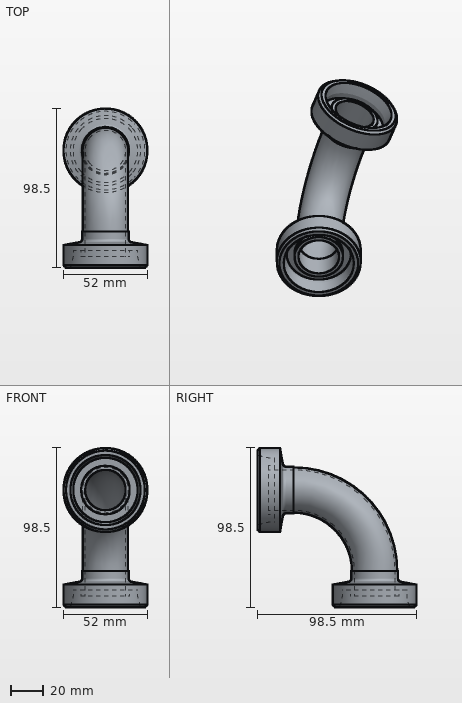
import cadquery as cq
import math

overall_size = 98.5
rim_radius = 52.0 / 2

tube_radius = 28.2 / 2
bore_radius = 25.0 / 2

collar_radius = 29.0 / 2
collar_top = 22.5
shoulder_top = 16.2
rim_top = 14.1
rim_chamfer = 1.7
neck_fillet = 2.0

mouth_radius = 43.3 / 2
socket_radius = 39.8 / 2
taper_depth = 7.0
socket_depth = 10.6
seat_radius = 30.0 / 2
seat_depth = taper_depth

half_size = overall_size / 2
lower_axis_y = half_size - rim_radius
upper_axis_z = half_size - rim_radius
bend_radius = overall_size - rim_radius - collar_top
elbow_start_z = -half_size + collar_top


def make_ferrule():
    """Ferrule standing on its open face at Z = 0, with its axis along Z."""
    shoulder_angle = math.atan2(shoulder_top - rim_top, rim_radius - collar_radius)
    turn_angle = math.pi / 2 - shoulder_angle
    tangent_length = neck_fillet * math.tan(turn_angle / 2)
    arc_center_radius = collar_radius + neck_fillet
    arc_start_height = shoulder_top + tangent_length

    def arc_point(angle):
        return (
            arc_center_radius - neck_fillet * math.cos(angle),
            arc_start_height - neck_fillet * math.sin(angle),
        )

    profile = (
        cq.Workplane("XZ")
        .moveTo(bore_radius, seat_depth)
        .lineTo(seat_radius, seat_depth)
        .lineTo(seat_radius, socket_depth)
        .lineTo(socket_radius, socket_depth)
        .lineTo(socket_radius, taper_depth)
        .lineTo(mouth_radius, 0)
        .lineTo(rim_radius - rim_chamfer, 0)
        .lineTo(rim_radius, rim_chamfer)
        .lineTo(rim_radius, rim_top)
        .lineTo(*arc_point(turn_angle))
        .threePointArc(arc_point(turn_angle / 2), arc_point(0))
        .lineTo(collar_radius, collar_top)
        .lineTo(bore_radius, collar_top)
        .close()
    )
    return profile.revolve(360, (0, 0, 0), (0, 1, 0))


def make_elbow():
    """Quarter-turn tube running up from the lower collar and round to the upper one."""
    return (
        cq.Workplane("XY", origin=(0, lower_axis_y, elbow_start_z))
        .circle(tube_radius)
        .circle(bore_radius)
        .revolve(90, (0, -bend_radius, 0), (1, -bend_radius, 0))
    )


def place_ferrules():
    """Lower ferrule opening toward -Z and upper ferrule opening toward -Y."""
    placements = [
        (0, (0, lower_axis_y, -half_size)),
        (-90, (0, -half_size, upper_axis_z)),
    ]
    return [
        make_ferrule().rotate((0, 0, 0), (1, 0, 0), tilt).translate(position)
        for tilt, position in placements
    ]


elbow = make_elbow()
ferrules = place_ferrules()

result = cq.Compound.makeCompound([elbow.val(), *[ferrule.val() for ferrule in ferrules]])